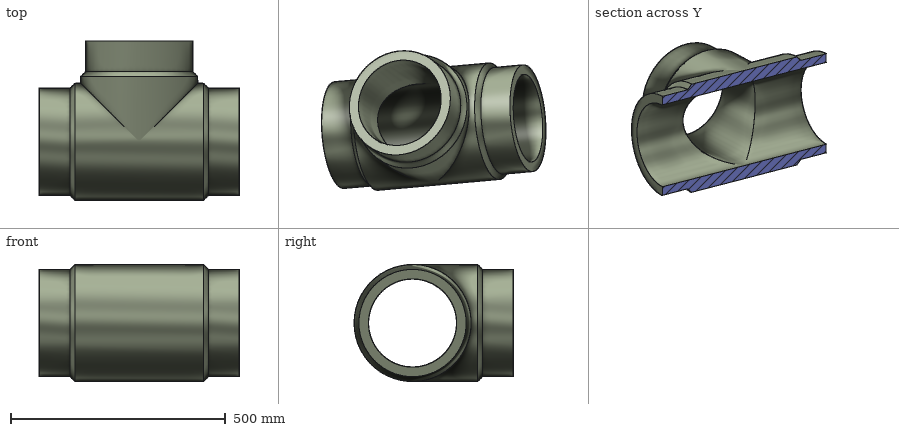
import cadquery as cq

spigot_diameter = 250.0
wall = 22.7
body_diameter = spigot_diameter + wall
run_length = 466.0
branch_length = 235.0
spigot_length = 72.0

spigot_radius = spigot_diameter / 2
body_radius = body_diameter / 2
bore_radius = spigot_radius - wall
shoulder = body_radius - spigot_radius
run_half_length = run_length / 2


def make_run():
    """Solid run along X: thick body with a conical shoulder and a spigot at each end."""
    cone_outer_end = run_half_length - spigot_length
    cone_inner_end = cone_outer_end - shoulder
    half_section = (
        cq.Workplane("XY")
        .moveTo(-run_half_length, 0)
        .lineTo(-run_half_length, -spigot_radius)
        .lineTo(-cone_outer_end, -spigot_radius)
        .lineTo(-cone_inner_end, -body_radius)
        .lineTo(cone_inner_end, -body_radius)
        .lineTo(cone_outer_end, -spigot_radius)
        .lineTo(run_half_length, -spigot_radius)
        .lineTo(run_half_length, 0)
        .close()
    )
    return half_section.revolve(360, (0, 0, 0), (1, 0, 0))


def make_branch():
    """Solid branch from the run axis along +Y: thick body, conical shoulder, spigot."""
    cone_outer_end = branch_length - spigot_length
    cone_inner_end = cone_outer_end - shoulder
    half_section = (
        cq.Workplane("XY")
        .moveTo(0, 0)
        .lineTo(-body_radius, 0)
        .lineTo(-body_radius, cone_inner_end)
        .lineTo(-spigot_radius, cone_outer_end)
        .lineTo(-spigot_radius, branch_length)
        .lineTo(0, branch_length)
        .close()
    )
    return half_section.revolve(360, (0, 0, 0), (0, 1, 0))


def make_bores():
    """Through bore of the run joined with the bore of the branch."""
    run_bore = cq.Workplane("YZ").circle(bore_radius).extrude(run_half_length, both=True)
    branch_bore = cq.Workplane("XZ").circle(bore_radius).extrude(-branch_length)
    return run_bore.union(branch_bore)


result = make_run().union(make_branch()).cut(make_bores())